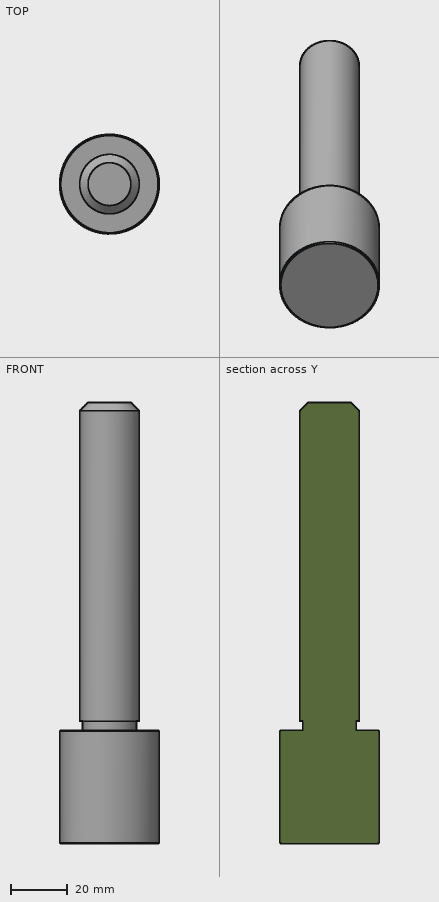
import cadquery as cq

total_length = 155.0
head_diameter = 35.0
head_length = 40.0
shank_diameter = 21.0

groove_diameter = 19.0
groove_width = 3.1

tip_chamfer = 3.0
head_chamfer = 0.5


def cylinder(diameter, bottom, height):
    """Solid cylinder on the Z axis, starting at the given height."""
    return cq.Workplane("XY").workplane(offset=bottom).circle(diameter / 2).extrude(height)


head = cylinder(head_diameter, 0, head_length).edges().chamfer(head_chamfer)

neck = cylinder(groove_diameter, head_length, groove_width)

shank_bottom = head_length + groove_width
shank = cylinder(shank_diameter, shank_bottom, total_length - shank_bottom)
shank = shank.faces(">Z").edges().chamfer(tip_chamfer)

result = head.union(neck).union(shank)